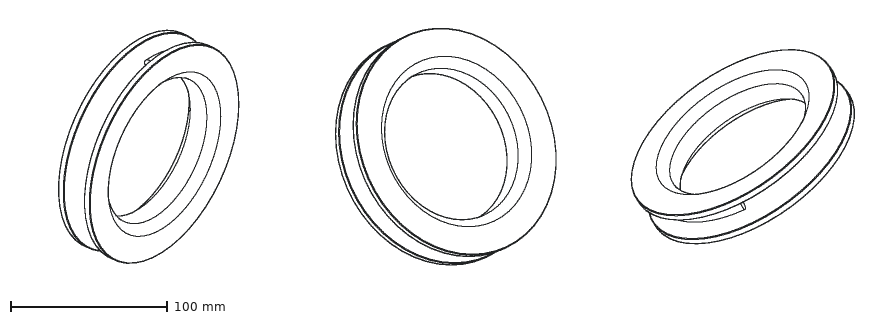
import cadquery as cq
import math

width = 26.4
outer_diameter = 150.0
bore_diameter = 100.0
bore_chamfer = 6.3
rim_chamfer = 0.5
rope_diameter = 6.8
groove_floor_radius = 60.0
groove_round_radius = 3.6
groove_wall_angle = 22.5
rope_sweep = 180.0

outer_radius = outer_diameter / 2
bore_radius = bore_diameter / 2
rope_radius = rope_diameter / 2
half_width = width / 2
rope_pitch_radius = groove_floor_radius + rope_radius
groove_round_center = groove_floor_radius + groove_round_radius

wall_angle = math.radians(groove_wall_angle)
tangent_x = groove_round_radius * math.cos(wall_angle)
tangent_radius = groove_round_center - groove_round_radius * math.sin(wall_angle)
lip_radius = outer_radius - rim_chamfer
lip_x = tangent_x + (lip_radius - tangent_radius) * math.tan(wall_angle)


def make_sheave():
    """Revolve the grooved ring section about X; sketch coordinates are (X, radius)."""
    section = (
        cq.Workplane("XY")
        .moveTo(-half_width + bore_chamfer, bore_radius)
        .lineTo(half_width - bore_chamfer, bore_radius)
        .lineTo(half_width, bore_radius + bore_chamfer)
        .lineTo(half_width, lip_radius)
        .lineTo(half_width - rim_chamfer, outer_radius)
        .lineTo(lip_x + rim_chamfer, outer_radius)
        .lineTo(lip_x, lip_radius)
        .lineTo(tangent_x, tangent_radius)
        .threePointArc((0, groove_floor_radius), (-tangent_x, tangent_radius))
        .lineTo(-lip_x, lip_radius)
        .lineTo(-lip_x - rim_chamfer, outer_radius)
        .lineTo(-half_width + rim_chamfer, outer_radius)
        .lineTo(-half_width, lip_radius)
        .lineTo(-half_width, bore_radius + bore_chamfer)
        .close()
    )
    return section.revolve(360, (0, 0, 0), (1, 0, 0))


def make_rope():
    """Sweep the round rope section from -Z through +Y to +Z, seated on the groove floor."""
    return (
        cq.Workplane("XZ")
        .center(0, -rope_pitch_radius)
        .circle(rope_radius)
        .revolve(rope_sweep, (0, rope_pitch_radius, 0), (1, rope_pitch_radius, 0))
    )


sheave = make_sheave()
rope = make_rope()

result = cq.Compound.makeCompound([sheave.val(), rope.val()])